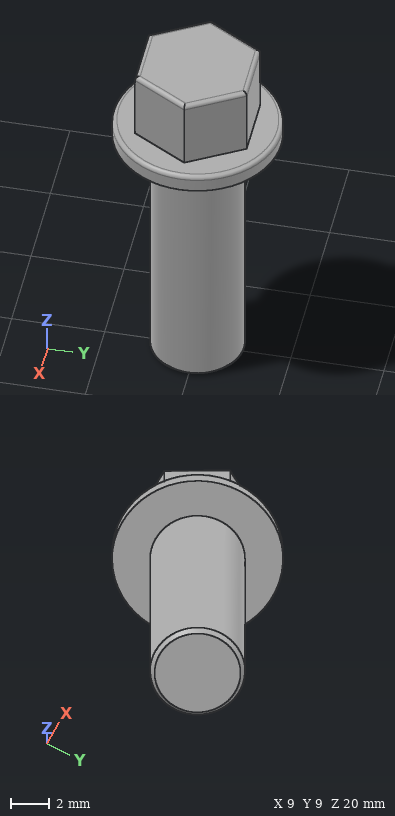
import cadquery as cq
import math

total_length = 20.0
shank_diameter = 5.0
flange_diameter = 9.0
flange_thickness = 1.0
head_height = 4.0
head_sides = 6
across_flats = 6.0

edge_radius = 0.25
tip_chamfer = 0.25

shank_length = total_length - flange_thickness - head_height
across_corners = across_flats / math.cos(math.pi / head_sides)


def make_shank():
    """Plain cylinder standing on Z = 0 with a chamfered tip."""
    shank = cq.Workplane("XY").circle(shank_diameter / 2).extrude(shank_length)
    return shank.faces("<Z").edges().chamfer(tip_chamfer)


def make_flange():
    """Round washer face with a rounded upper rim."""
    flange = (
        cq.Workplane("XY", origin=(0, 0, shank_length))
        .circle(flange_diameter / 2)
        .extrude(flange_thickness)
    )
    return flange.faces(">Z").edges().fillet(edge_radius)


def make_head():
    """Hexagonal head with corners along X and rounded top edges."""
    head = (
        cq.Workplane("XY", origin=(0, 0, shank_length + flange_thickness))
        .polygon(head_sides, across_corners)
        .extrude(head_height)
    )
    return head.faces(">Z").edges().fillet(edge_radius)


result = make_shank().union(make_flange()).union(make_head())